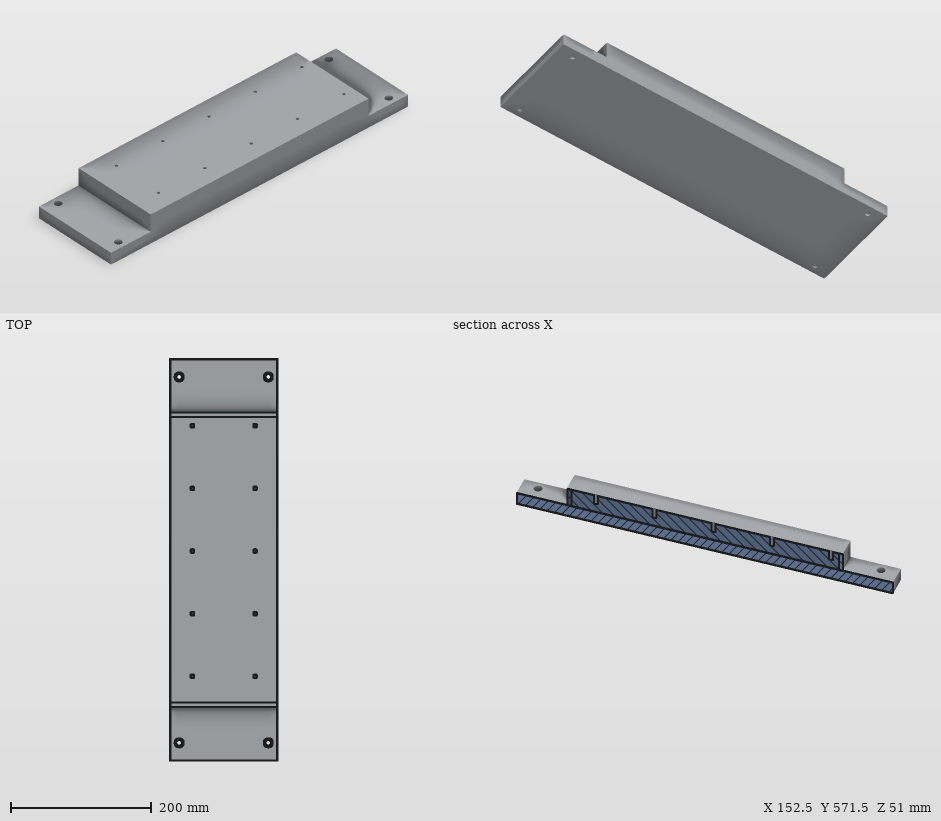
import cadquery as cq

BASE_LENGTH = 571.5
WIDTH = 152.5
TOTAL_HEIGHT = 51.0
BASE_THICKNESS = 20.5

RAISED_HEIGHT = TOTAL_HEIGHT - BASE_THICKNESS
BLOCK_LENGTH = 406.5
END_PLATE_THICKNESS = 6.5

MOUNT_SPACING_X = 127.0
MOUNT_SPACING_Y = 520.5
MOUNT_HOLE_DIAMETER = 8.5
COUNTERBORE_DIAMETER = 12.5
COUNTERBORE_DEPTH = BASE_THICKNESS / 2

GRID_PITCH = 89.0
GRID_COLUMNS = 2
GRID_ROWS = 5
GRID_OFFSET_Y = 12.5
GRID_HOLE_DIAMETER = 5.0
GRID_HOLE_DEPTH = RAISED_HEIGHT / 2


def make_base_plate():
    """Flat plate resting on Z = 0, with a counterbored hole near each corner."""
    return (
        cq.Workplane("XY")
        .box(WIDTH, BASE_LENGTH, BASE_THICKNESS, centered=(True, True, False))
        .faces(">Z")
        .workplane()
        .rect(MOUNT_SPACING_X, MOUNT_SPACING_Y, forConstruction=True)
        .vertices()
        .cboreHole(MOUNT_HOLE_DIAMETER, COUNTERBORE_DIAMETER, COUNTERBORE_DEPTH)
    )


def make_block():
    """Block on the base plate, with a grid of blind holes in its top face."""
    return (
        cq.Workplane("XY", origin=(0, 0, BASE_THICKNESS))
        .box(WIDTH, BLOCK_LENGTH, RAISED_HEIGHT, centered=(True, True, False))
        .faces(">Z")
        .workplane()
        .center(0, GRID_OFFSET_Y)
        .rarray(GRID_PITCH, GRID_PITCH, GRID_COLUMNS, GRID_ROWS)
        .hole(GRID_HOLE_DIAMETER, GRID_HOLE_DEPTH)
    )


def make_end_plate(side):
    """Plate against one end of the block; side is -1 for the -Y end and +1 for the +Y end."""
    center_y = side * (BLOCK_LENGTH + END_PLATE_THICKNESS) / 2
    return cq.Workplane("XY", origin=(0, center_y, BASE_THICKNESS)).box(
        WIDTH, END_PLATE_THICKNESS, RAISED_HEIGHT, centered=(True, True, False)
    )


base_plate = make_base_plate()
block = make_block()
end_plates = [make_end_plate(side) for side in (-1, 1)]

result = cq.Compound.makeCompound(
    [
        base_plate.val(),
        block.val(),
        *[plate.val() for plate in end_plates],
    ]
)